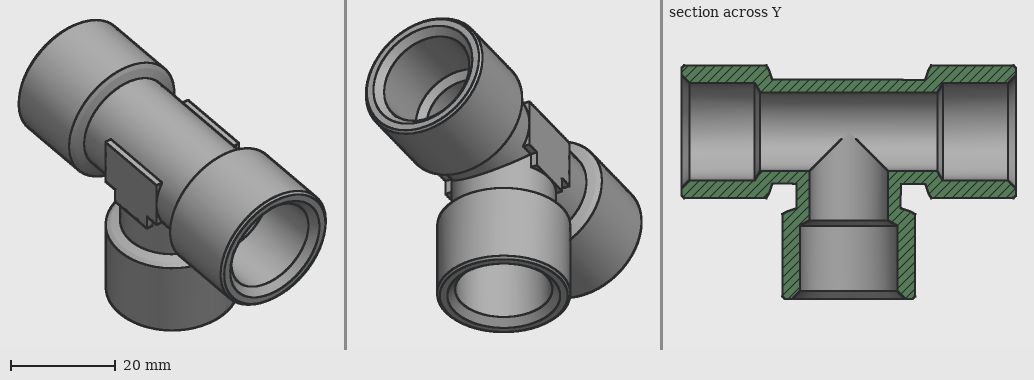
import cadquery as cq
import math

PORT_REACH = 32.0
NECK_RADIUS = 10.0

COLLAR_RADIUS = 12.75
COLLAR_LENGTH = 17.4
RIM_CHAMFER = 0.5
SHOULDER_LENGTH = 1.15
SHOULDER_BREAK_RADIUS = 11.8
SHOULDER_BREAK_LENGTH = 0.6

MOUTH_RADIUS = 10.8
SOCKET_RADIUS = 9.3
MOUTH_ANGLE = 45.0
SOCKET_DEPTH = 14.0
THROUGH_RADIUS = 7.5
SOCKET_END_ANGLE = 60.0

PAD_WIDTH = 16.0
PAD_HEIGHT = 10.0
TAB_WIDTH = 10.0
TAB_DROP = 3.0


def port_body():
    """Solid neck and collar, from the tee centre along +Z."""
    shoulder_start = PORT_REACH - COLLAR_LENGTH
    outline = [
        (0, 0),
        (NECK_RADIUS, 0),
        (NECK_RADIUS, shoulder_start),
        (SHOULDER_BREAK_RADIUS, shoulder_start + SHOULDER_BREAK_LENGTH),
        (COLLAR_RADIUS, shoulder_start + SHOULDER_LENGTH),
        (COLLAR_RADIUS, PORT_REACH - RIM_CHAMFER),
        (COLLAR_RADIUS - RIM_CHAMFER, PORT_REACH),
        (0, PORT_REACH),
    ]
    return revolve_about_z(outline)


def port_bore():
    """Flow passage with its socket and mouth chamfer, from the tee centre along +Z."""
    mouth_length = (MOUTH_RADIUS - SOCKET_RADIUS) / math.tan(math.radians(MOUTH_ANGLE))
    cone_length = (SOCKET_RADIUS - THROUGH_RADIUS) / math.tan(math.radians(SOCKET_END_ANGLE))
    socket_end = PORT_REACH - SOCKET_DEPTH
    outline = [
        (0, 0),
        (THROUGH_RADIUS, 0),
        (THROUGH_RADIUS, socket_end - cone_length),
        (SOCKET_RADIUS, socket_end),
        (SOCKET_RADIUS, PORT_REACH - mouth_length),
        (MOUTH_RADIUS, PORT_REACH),
        (0, PORT_REACH),
    ]
    return revolve_about_z(outline)


def revolve_about_z(outline):
    """Revolve a (radius, height) outline about the Z axis."""
    profile = cq.Workplane("XZ").polyline(outline).close()
    return profile.revolve(360, (0, 0, 0), (0, 1, 0))


def at_all_ports(shape):
    """Copy a +Z port shape to the left, right and bottom ports."""
    right, down, left = [shape.rotate((0, 0, 0), (0, 1, 0), angle) for angle in (90, 180, 270)]
    return right.union(left).union(down)


def pads():
    """Slab whose two faces, tangent to the neck, form the front and back pads."""
    thickness = 2 * NECK_RADIUS
    pad = cq.Workplane("XY").box(PAD_WIDTH, thickness, PAD_HEIGHT)
    tab = cq.Workplane("XY").box(TAB_WIDTH, thickness, TAB_DROP)
    tab_centre = -(PAD_HEIGHT + TAB_DROP) / 2
    return pad.union(tab.translate((0, 0, tab_centre)))


result = at_all_ports(port_body()).union(pads()).cut(at_all_ports(port_bore()))